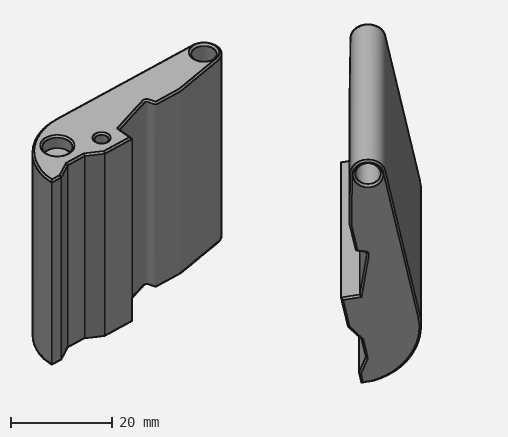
import cadquery as cq
import math

width = 14.55
length = 53.05
height = 46.9
edge_chamfer = 0.4

knuckle_radius = 3.5
knuckle_x = knuckle_radius
knuckle_y = length - knuckle_radius
pin_hole_diameter = 5.05
pin_hole_chamfer = 0.5

land_x = 9.45
land_top_y = 38.25
land_bottom_y = 31.7
land_round = 0.6

shoulder_x = 10.7
shoulder_y = 21.1
flank_angle = 19.2
notch_round = 0.55

curve_start_y = 14.0
curve_end_x = 12.2
curve_radius = (curve_end_x**2 + curve_start_y**2) / (2 * curve_end_x)

pocket_x = 6.8
pocket_y = 8.2
pocket_diameter = 6.0
pocket_depth = 3.0
screw_x = 10.65
screw_y = 16.45
screw_diameter = 2.8
screw_depth = 3.0
screw_floor_diameter = 2.1

recess_floor_x = 12.45
recess_floor_half_length = 2.25
recess_mouth_half_length = 5.75
recess_floor_top_y = pocket_y + recess_floor_half_length
recess_floor_bottom_y = pocket_y - recess_floor_half_length
recess_top_y = pocket_y + recess_mouth_half_length
recess_bottom_y = pocket_y - recess_mouth_half_length


def tangent_point_from(x, y):
    """Point where a line from (x, y) touches the +X flank of the knuckle."""
    dx = x - knuckle_x
    dy = y - knuckle_y
    angle = math.atan2(dy, dx) + math.acos(knuckle_radius / math.hypot(dx, dy))
    return (
        knuckle_x + knuckle_radius * math.cos(angle),
        knuckle_y + knuckle_radius * math.sin(angle),
    )


def notch_corner():
    """Sharp corner between the sloped flank and the underside of the land."""
    angle = math.radians(flank_angle)
    rise = land_bottom_y - shoulder_y
    run = land_x - shoulder_x
    flank_length = rise * math.cos(angle) - run * math.sin(angle)
    return (
        shoulder_x - flank_length * math.sin(angle),
        shoulder_y + flank_length * math.cos(angle),
    )


def curve_midpoint():
    """Point halfway along the large curve."""
    half_sweep = math.asin(curve_start_y / curve_radius) / 2
    return (
        curve_radius * (1 - math.cos(half_sweep)),
        curve_start_y - curve_radius * math.sin(half_sweep),
    )


def make_body():
    """Extruded profile with rounded notch corners and chamfered end faces."""
    body = (
        cq.Workplane("XY")
        .moveTo(0, curve_start_y)
        .threePointArc(curve_midpoint(), (curve_end_x, 0))
        .lineTo(width, 0)
        .lineTo(width, recess_bottom_y)
        .lineTo(recess_floor_x, recess_floor_bottom_y)
        .lineTo(recess_floor_x, recess_floor_top_y)
        .lineTo(width, recess_top_y)
        .lineTo(width, shoulder_y)
        .lineTo(shoulder_x, shoulder_y)
        .lineTo(*notch_corner())
        .lineTo(land_x, land_bottom_y)
        .lineTo(land_x, land_top_y)
        .lineTo(*tangent_point_from(land_x, land_top_y))
        .threePointArc((knuckle_x, length), (0, knuckle_y))
        .close()
        .extrude(height)
    )
    rounded_corners = [
        (land_x, land_bottom_y, land_round),
        (*notch_corner(), notch_round),
    ]
    for x, y, radius in rounded_corners:
        corner = cq.selectors.NearestToPointSelector((x, y, height / 2))
        body = body.edges(corner).fillet(radius)
    return body.faces("<Z or >Z").chamfer(edge_chamfer)


def chamfered_bore(x, y, diameter, depth, chamfer):
    """Cutter for a hole in the top face with a 45 degree lead-in."""
    top = cq.Workplane("XY", origin=(x, y, height))
    shaft = top.circle(diameter / 2).extrude(-depth)
    lead_in = top.circle(diameter / 2 + chamfer).extrude(-chamfer, taper=45)
    return shaft.union(lead_in)


pin_hole = chamfered_bore(knuckle_x, knuckle_y, pin_hole_diameter, height, pin_hole_chamfer)
pin_hole = pin_hole.union(pin_hole.mirror("XY", (0, 0, height / 2)))

pocket = chamfered_bore(pocket_x, pocket_y, pocket_diameter, pocket_depth, edge_chamfer)

screw_hole = chamfered_bore(screw_x, screw_y, screw_diameter, screw_depth, edge_chamfer)
screw_hole = screw_hole.faces("<Z").chamfer((screw_diameter - screw_floor_diameter) / 2)

result = make_body().cut(pin_hole).cut(pocket).cut(screw_hole)